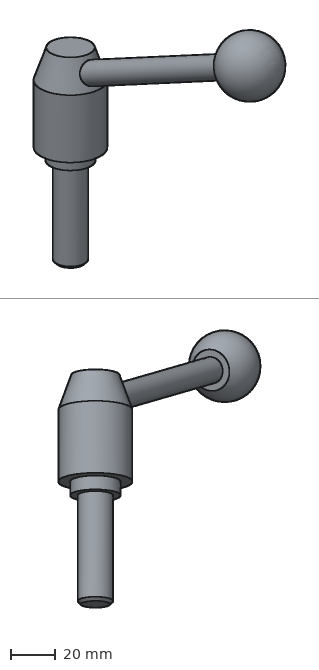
import cadquery as cq
import math

total_height = 150.0

stud_radius = 8.0
stud_length = 50.0
stud_chamfer = 1.5
collar_radius = 11.2
collar_height = 6.3
hub_radius = 16.5
hub_height = 33.0
cone_top_radius = 10.8
cone_height = 15.9

ball_radius = 16.0
ball_flat_distance = 13.0
arm_radius = 6.0
arm_angle = 20.0
ball_x = 115.0
ball_z = total_height - ball_radius

collar_bottom = stud_length
hub_bottom = collar_bottom + collar_height
cone_bottom = hub_bottom + hub_height
cone_top = cone_bottom + cone_height


def make_body():
    """Revolve the stud, collar, hub and cone about Z."""
    return (
        cq.Workplane("XZ")
        .moveTo(0, 0)
        .lineTo(stud_radius - stud_chamfer, 0)
        .lineTo(stud_radius, stud_chamfer)
        .lineTo(stud_radius, collar_bottom)
        .lineTo(collar_radius, collar_bottom)
        .lineTo(collar_radius, hub_bottom)
        .lineTo(hub_radius, hub_bottom)
        .lineTo(hub_radius, cone_bottom)
        .lineTo(cone_top_radius, cone_top)
        .lineTo(0, cone_top)
        .close()
        .revolve(360, (0, 0), (0, 1))
    )


def make_handle():
    """Build the arm and ball along X about the ball centre, then tilt and place them."""
    arm_length = ball_x / math.cos(math.radians(arm_angle))
    arm = cq.Workplane("YZ").circle(arm_radius).extrude(-arm_length)
    ball_side = 2 * ball_radius
    flat_cutter = (
        cq.Workplane("YZ", origin=(-ball_flat_distance, 0, 0))
        .rect(ball_side, ball_side)
        .extrude(-ball_radius)
    )
    ball = cq.Workplane("XY").sphere(ball_radius).cut(flat_cutter)
    return (
        ball.union(arm)
        .rotate((0, 0, 0), (0, 1, 0), -arm_angle)
        .translate((ball_x, 0, ball_z))
    )


result = make_body().union(make_handle())